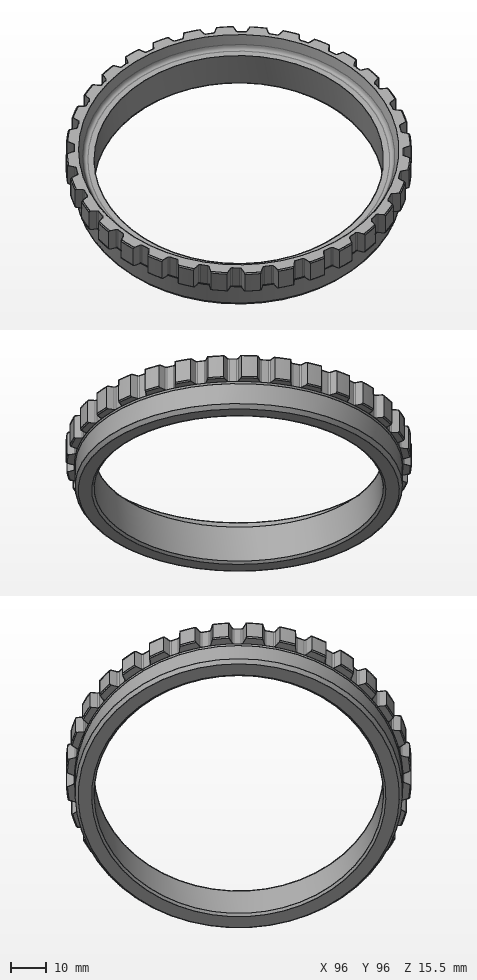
import cadquery as cq
import math

height = 15.5
bore_radius = 40.2
bore_foot_chamfer = 0.7

tooth_count = 32
tip_radius = 48.0
root_radius = 45.7
flange_height = 7.3
tip_chamfer = 0.34
tip_width = 4.4
tooth_base_width = 6.2
root_fillet = 0.6

body_radius = 45.5
taper_height = 0.6
foot_chamfer_width = 0.9
foot_chamfer_height = 1.2

recess_top_radius = 44.5
recess_wall_radius = 43.4
recess_wall_depth = 2.8
seat_outer_radius = 41.9
seat_depth = 3.9

flange_bottom = height - flange_height
taper_bottom = flange_bottom - taper_height


def make_ring():
    """Revolve the whole section, with the teeth still a solid flange."""
    wall_direction = (recess_wall_radius - recess_top_radius, -recess_wall_depth)
    seat_direction = (-1, 0)
    section = (
        cq.Workplane("XZ")
        .moveTo(bore_radius, bore_foot_chamfer)
        .lineTo(bore_radius + bore_foot_chamfer, 0)
        .lineTo(body_radius - foot_chamfer_width, 0)
        .lineTo(body_radius, foot_chamfer_height)
        .lineTo(body_radius, taper_bottom)
        .lineTo(root_radius, flange_bottom)
        .lineTo(tip_radius - tip_chamfer, flange_bottom)
        .lineTo(tip_radius, flange_bottom + tip_chamfer)
        .lineTo(tip_radius, height - tip_chamfer)
        .lineTo(tip_radius - tip_chamfer, height)
        .lineTo(recess_top_radius, height)
        .lineTo(recess_wall_radius, height - recess_wall_depth)
        .spline(
            [(seat_outer_radius, height - seat_depth)],
            tangents=[wall_direction, seat_direction],
            includeCurrent=True,
        )
        .lineTo(bore_radius, height - seat_depth)
        .close()
    )
    return section.revolve(360, (0, 0, 0), (0, 1, 0))


def flank_point(radius, width, tooth_angle):
    """Point on the counterclockwise flank of a tooth centred at tooth_angle, where the tooth has this width."""
    angle = tooth_angle + math.asin(width / 2 / radius)
    return radius * math.cos(angle), radius * math.sin(angle)


def make_gap_cutter():
    """Space between two neighbouring teeth, centred on the +X axis."""
    half_pitch = math.pi / tooth_count
    root_x, root_y = flank_point(root_radius, tooth_base_width, -half_pitch)
    tip_x, tip_y = flank_point(tip_radius, tip_width, -half_pitch)
    outer_x = 2 * tip_x - root_x
    outer_y = 2 * tip_y - root_y
    return (
        cq.Workplane("XY")
        .workplane(offset=flange_bottom)
        .moveTo(outer_x, outer_y)
        .lineTo(root_x, root_y)
        .threePointArc((root_radius, 0), (root_x, -root_y))
        .lineTo(outer_x, -outer_y)
        .close()
        .extrude(flange_height)
        .edges("|Z and <X")
        .fillet(root_fillet)
    )


result = make_ring()
gap = make_gap_cutter()
pitch_angle = 360 / tooth_count
for gap_index in range(tooth_count):
    turn = (gap_index + 0.5) * pitch_angle
    result = result.cut(gap.rotate((0, 0, 0), (0, 0, 1), turn))